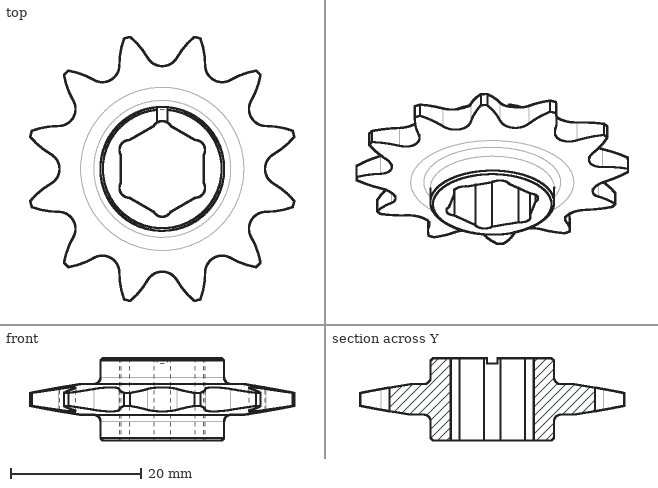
import math
import cadquery as cq

TOOTH_COUNT = 12
CHAIN_PITCH = 9.525
SEAT_RADIUS = 2.59
SEAT_HALF_ANGLE = 60
FLANK_RADIUS = 12.0
FLANK_SWEEP = 25
TIP_RADIUS = 20.9

HUB_RADIUS = 9.525
HUB_LENGTH = 12.7
HUB_CHAMFER = 0.4
PLATE_THICKNESS = 4.7625
PLATE_FLAT_RADIUS = 12.55
TIP_THICKNESS = 2.0
HUB_FILLET = 1.0

HEX_SIDES = 6
HEX_ACROSS_FLATS = 12.7
RELIEF_RADIUS = 1.5
RELIEF_CENTER_RADIUS = 5.84

SLOT_WIDTH = 1.6
SLOT_DEPTH = 0.8


def polar(center, radius, degrees):
    """Point at a distance and angle from a center."""
    angle = math.radians(degrees)
    return (center[0] + radius * math.cos(angle), center[1] + radius * math.sin(angle))


def mirrored(point):
    """Point on the opposite flank of a tooth gap centered on +Y."""
    return (-point[0], point[1])


def make_blank():
    """Hub with a tapered plate around its middle, before the teeth are cut."""
    half_plate = PLATE_THICKNESS / 2
    half_tip = TIP_THICKNESS / 2
    half_hub = HUB_LENGTH / 2
    fillet_center = (HUB_RADIUS + HUB_FILLET, half_plate + HUB_FILLET)
    fillet_middle = polar(fillet_center, HUB_FILLET, 225)
    upper_half = (
        cq.Workplane("XZ")
        .lineTo(TIP_RADIUS, 0)
        .lineTo(TIP_RADIUS, half_tip)
        .lineTo(PLATE_FLAT_RADIUS, half_plate)
        .lineTo(fillet_center[0], half_plate)
        .threePointArc(fillet_middle, (HUB_RADIUS, fillet_center[1]))
        .lineTo(HUB_RADIUS, half_hub - HUB_CHAMFER)
        .lineTo(HUB_RADIUS - HUB_CHAMFER, half_hub)
        .lineTo(0, half_hub)
        .close()
        .revolve(360, (0, 0, 0), (0, 1, 0))
    )
    return upper_half.union(upper_half.mirror("XY"))


def make_tooth_gap():
    """Cutter for the gap centered on +Y: a round roller seat running into convex flanks."""
    pitch_radius = CHAIN_PITCH / (2 * math.sin(math.pi / TOOTH_COUNT))
    seat_center = (0, pitch_radius)
    seat_bottom = (0, pitch_radius - SEAT_RADIUS)

    seat_end_direction = 270 - SEAT_HALF_ANGLE
    seat_end = polar(seat_center, SEAT_RADIUS, seat_end_direction)
    flank_center = polar(seat_end, FLANK_RADIUS, seat_end_direction)
    flank_start_direction = seat_end_direction - 180
    flank_end_direction = flank_start_direction + FLANK_SWEEP
    flank_middle_direction = (flank_start_direction + flank_end_direction) / 2
    flank_middle = polar(flank_center, FLANK_RADIUS, flank_middle_direction)
    flank_end = polar(flank_center, FLANK_RADIUS, flank_end_direction)

    return (
        cq.Workplane("XY")
        .workplane(offset=-PLATE_THICKNESS / 2)
        .moveTo(*flank_end)
        .threePointArc(flank_middle, seat_end)
        .threePointArc(seat_bottom, mirrored(seat_end))
        .threePointArc(mirrored(flank_middle), mirrored(flank_end))
        .close()
        .extrude(PLATE_THICKNESS)
    )


def cut_teeth(body):
    """Cut every tooth gap around the rim."""
    gap = make_tooth_gap()
    for index in range(TOOTH_COUNT):
        body = body.cut(gap.rotate((0, 0, 0), (0, 0, 1), index * 360 / TOOTH_COUNT))
    return body


def cut_hex_bore(body):
    """Cut the through hexagon, points on +Y and -Y, with a round relief at each corner."""
    corner_diameter = HEX_ACROSS_FLATS / math.cos(math.pi / HEX_SIDES)
    base = cq.Workplane("XY").workplane(offset=-HUB_LENGTH / 2)
    hexagon = base.transformed(rotate=(0, 0, 90)).polygon(HEX_SIDES, corner_diameter).extrude(HUB_LENGTH)
    body = body.cut(hexagon)
    relief = base.center(0, RELIEF_CENTER_RADIUS).circle(RELIEF_RADIUS).extrude(HUB_LENGTH)
    for index in range(HEX_SIDES):
        body = body.cut(relief.rotate((0, 0, 0), (0, 0, 1), index * 360 / HEX_SIDES))
    return body


def cut_slot(body):
    """Cut the shallow slot from the bore out through the +Y side of the upper hub face."""
    slot = (
        cq.Workplane("XY")
        .workplane(offset=HUB_LENGTH / 2 - SLOT_DEPTH)
        .center(0, HUB_RADIUS / 2)
        .rect(SLOT_WIDTH, HUB_RADIUS)
        .extrude(SLOT_DEPTH)
    )
    return body.cut(slot)


result = cut_slot(cut_hex_bore(cut_teeth(make_blank())))